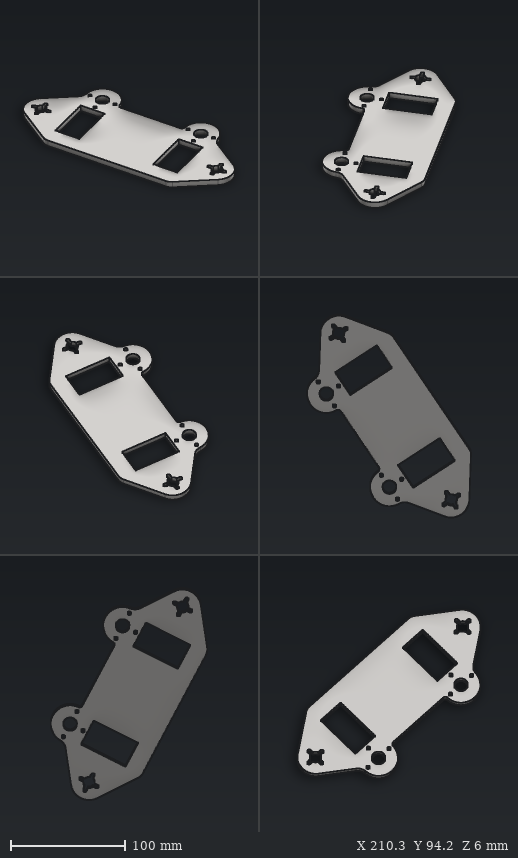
import cadquery as cq
import math

length = 210.3
width = 94.2
thickness = 6.0
top_edge_y = 75.3
axis_y = 38.3
end_radius = 16.2
taper_angle = math.radians(35.5)
bottom_corner_radius = 10.0

boss_x = 50.0
boss_radius = 17.0
boss_y = width - boss_radius
boss_hole_diameter = 12.0
screw_hole_diameter = 3.2
screw_circle_radius = 12.8
outer_neck_radius = 10.0
inner_neck_radius = 2.5

window_x = 49.8
window_width = 24.2
window_height = 43.7

cross_x = 89.4
cross_span = 18.7
cross_arm_width = 3.2
cross_center_diameter = 10.0

sides = (-1, 1)


def plate():
    """Six-sided plate with rounded ends and lower corners."""
    apex_x = length / 2 - end_radius + end_radius / math.sin(taper_angle)
    bottom_x = apex_x - axis_y / math.tan(taper_angle)
    top_x = apex_x - (top_edge_y - axis_y) / math.tan(taper_angle)
    outline = [
        (-bottom_x, 0),
        (bottom_x, 0),
        (apex_x, axis_y),
        (top_x, top_edge_y),
        (-top_x, top_edge_y),
        (-apex_x, axis_y),
    ]
    body = cq.Workplane("XY").polyline(outline).close().extrude(thickness)
    body = body.edges("|Z and (<X or >X)").fillet(end_radius)
    return body.edges("|Z and <Y").fillet(bottom_corner_radius)


def add_bosses(body):
    """Join the round bosses and blend both sides of each neck."""
    centers = [(side * boss_x, boss_y) for side in sides]
    bosses = cq.Workplane("XY").pushPoints(centers).circle(boss_radius).extrude(thickness)
    body = body.union(bosses)
    for side in sides:
        outer_neck = (side * (boss_x + boss_radius), top_edge_y, thickness / 2)
        body = body.edges(cq.selectors.NearestToPointSelector(outer_neck)).fillet(outer_neck_radius)
        inner_neck = (side * (boss_x - boss_radius), top_edge_y, thickness / 2)
        body = body.edges(cq.selectors.NearestToPointSelector(inner_neck)).fillet(inner_neck_radius)
    return body


def boss_holes(x):
    """Central hole with screw holes to the left, right and below."""
    screw_points = [
        (x - screw_circle_radius, boss_y),
        (x + screw_circle_radius, boss_y),
        (x, boss_y - screw_circle_radius),
    ]
    center = cq.Workplane("XY").center(x, boss_y).circle(boss_hole_diameter / 2).extrude(thickness)
    screws = cq.Workplane("XY").pushPoints(screw_points).circle(screw_hole_diameter / 2).extrude(thickness)
    return center.union(screws)


def window(x):
    return cq.Workplane("XY").center(x, axis_y).rect(window_width, window_height).extrude(thickness)


def cross(x):
    """Round opening crossed by two round-ended slots."""
    base = cq.Workplane("XY").center(x, axis_y)
    cutter = base.circle(cross_center_diameter / 2).extrude(thickness)
    for angle in (0, 90):
        cutter = cutter.union(base.slot2D(cross_span, cross_arm_width, angle).extrude(thickness))
    return cutter


result = add_bosses(plate())
for side in sides:
    result = result.cut(boss_holes(side * boss_x))
    result = result.cut(window(side * window_x))
    result = result.cut(cross(side * cross_x))